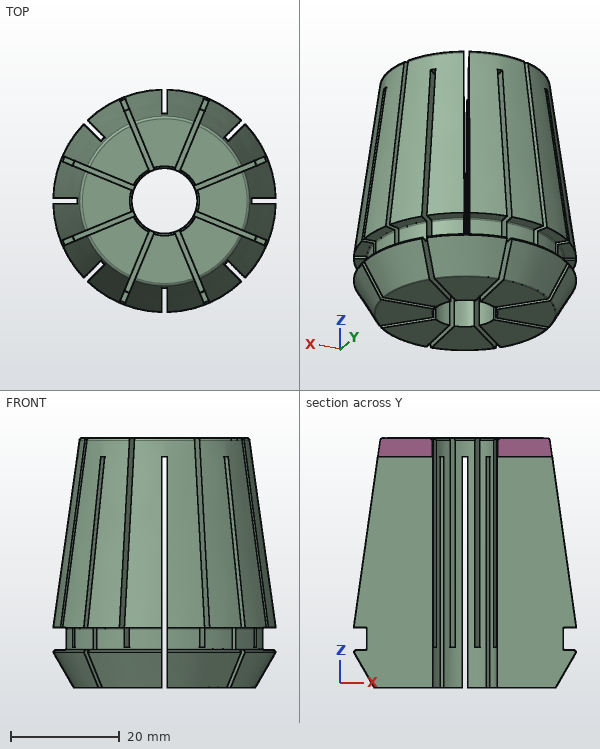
import cadquery as cq
import math

height = 46.0
max_radius = 20.5
bore_radius = 6.0

taper_bottom_z = 11.1
taper_half_angle = 8.0
top_round = 0.5
bore_chamfer = 0.4

groove_radius = 18.1
groove_bottom_z = 7.0

nose_half_angle = 30.0
nose_cone_height = 6.6
flange_rim_chamfer = groove_bottom_z - nose_cone_height

edge_round = 0.2

slot_count = 8
slot_width = 1.0
slot_pitch = 360.0 / slot_count
slot_overrun = 1.0
lower_slot_top_z = 42.5
upper_slot_floor_rise = 0.5
upper_slot_bottom_z = groove_bottom_z + upper_slot_floor_rise

top_radius = max_radius - (height - taper_bottom_z) * math.tan(math.radians(taper_half_angle))
nose_radius = max_radius - nose_cone_height * math.tan(math.radians(nose_half_angle))


def make_body():
    """Revolve the half section of the collet about Z."""
    return (
        cq.Workplane("XZ")
        .moveTo(bore_radius, 0)
        .lineTo(nose_radius, 0)
        .lineTo(max_radius, nose_cone_height)
        .lineTo(max_radius - flange_rim_chamfer, groove_bottom_z)
        .lineTo(groove_radius, groove_bottom_z)
        .lineTo(groove_radius, taper_bottom_z)
        .lineTo(max_radius, taper_bottom_z)
        .lineTo(top_radius, height)
        .lineTo(bore_radius, height)
        .close()
        .revolve(360, (0, 0, 0), (0, 1, 0))
    )


def groove_corners():
    """Selector for the circular edges at both inner corners of the groove."""
    reach = groove_radius + edge_round
    return cq.selectors.BoxSelector(
        (-reach, -reach, groove_bottom_z - edge_round),
        (reach, reach, taper_bottom_z + edge_round),
        boundingbox=True,
    )


def ease_edges(body):
    """Round the rims and groove corners, and chamfer the bore mouth."""
    inner_edge = cq.selectors.RadiusNthSelector(0)
    outer_edge = cq.selectors.RadiusNthSelector(-1)
    body = body.faces("<Z").edges(outer_edge).fillet(edge_round)
    body = body.edges(groove_corners()).edges(inner_edge).fillet(edge_round)
    body = body.faces(">Z").edges(outer_edge).fillet(top_round)
    return body.faces(">Z").edges(inner_edge).chamfer(bore_chamfer)


def cut_slots(body, bottom_z, top_z, start_angle):
    """Cut one ring of radial slots between two heights."""
    blade = (
        cq.Workplane("XY")
        .workplane(offset=bottom_z)
        .rect(2 * (max_radius + slot_overrun), slot_width)
        .extrude(top_z - bottom_z)
    )
    for index in range(slot_count // 2):
        angle = start_angle + index * slot_pitch
        body = body.cut(blade.rotate((0, 0, 0), (0, 0, 1), angle))
    return body


result = ease_edges(make_body())
result = cut_slots(result, 0, lower_slot_top_z, 0)
result = cut_slots(result, upper_slot_bottom_z, height, slot_pitch / 2)